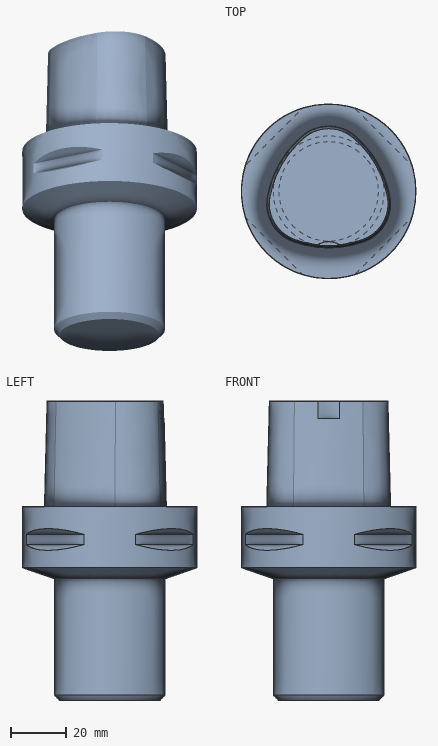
import cadquery as cq
import math

total_height = 108.0
flange_diameter = 63.0
flange_radius = flange_diameter / 2
shank_diameter = 40.0
shank_radius = shank_diameter / 2
shank_chamfer = 2.0
shank_height = 44.0
flange_bottom = 48.0
taper_height = 38.0
flange_top = total_height - taper_height

lobe_reach = 23.5
flat_reach = 20.4
lobe_radius = 14.6
taper_ratio = 1 / 40

keyway_half_width = 3.9
keyway_back_y = -18.1
keyway_edge_y = -19.2
keyway_height = 6.4

slot_count = 4
slot_first_angle = 45.0
slot_floor_distance = 27.9
slot_floor_height = 3.7
slot_center_z = 58.1
slot_flank_angle = 30.0
slot_overshoot = 1.1


def polar(radius, angle):
    """Point at a radius and an angle in degrees."""
    radians = math.radians(angle)
    return (radius * math.cos(radians), radius * math.sin(radians))


def make_body():
    """Shank with end chamfer, cone and flange as one turned profile."""
    return (
        cq.Workplane("XZ")
        .moveTo(0, 0)
        .lineTo(shank_radius - shank_chamfer, 0)
        .lineTo(shank_radius, shank_chamfer)
        .lineTo(shank_radius, shank_height)
        .lineTo(flange_radius, flange_bottom)
        .lineTo(flange_radius, flange_top)
        .lineTo(0, flange_top)
        .close()
        .revolve(360, (0, 0, 0), (0, 1, 0))
    )


def make_polygon_taper():
    """Rounded triangle of six tangent arcs, narrowing upward."""
    lobe_offset = lobe_reach - lobe_radius
    gap = flat_reach - lobe_radius - lobe_offset / 2
    lobe_half_pitch = lobe_offset * math.sin(math.radians(60))
    center_distance = (lobe_half_pitch**2 + gap**2) / (2 * gap)
    turn = math.degrees(math.asin(lobe_half_pitch / center_distance))

    tangent = polar(lobe_radius, 60 - turn)
    joint_x = lobe_offset + tangent[0]
    joint_radius = math.hypot(joint_x, tangent[1])
    joint_angle = math.degrees(math.atan2(tangent[1], joint_x))

    outline = cq.Workplane("XY", origin=(0, 0, flange_top))
    outline = outline.moveTo(*polar(joint_radius, 90 - joint_angle))
    for lobe_angle in (90, 210, 330):
        lobe_end = polar(joint_radius, lobe_angle + joint_angle)
        side_end = polar(joint_radius, lobe_angle + 120 - joint_angle)
        outline = outline.threePointArc(polar(lobe_reach, lobe_angle), lobe_end)
        outline = outline.threePointArc(polar(flat_reach, lobe_angle + 60), side_end)
    taper_angle = math.degrees(math.atan(taper_ratio))
    return outline.close().extrude(taper_height, taper=taper_angle)


def make_keyway():
    """Straight-sided cutter with an arched back wall, open at the top and outward."""
    return (
        cq.Workplane("XY", origin=(0, 0, total_height - keyway_height))
        .moveTo(-keyway_half_width, -flange_radius)
        .lineTo(-keyway_half_width, keyway_edge_y)
        .threePointArc((0, keyway_back_y), (keyway_half_width, keyway_edge_y))
        .lineTo(keyway_half_width, -flange_radius)
        .close()
        .extrude(keyway_height)
    )


def make_slot(angle):
    """Flat-floored slot with flaring flanks, facing outward at an angle."""
    outer = flange_radius + slot_overshoot
    floor_half = slot_floor_height / 2
    flare = (outer - slot_floor_distance) * math.tan(math.radians(slot_flank_angle))
    outer_half = floor_half + flare
    return (
        cq.Workplane("XZ")
        .polyline([
            (slot_floor_distance, slot_center_z - floor_half),
            (outer, slot_center_z - outer_half),
            (outer, slot_center_z + outer_half),
            (slot_floor_distance, slot_center_z + floor_half),
        ])
        .close()
        .extrude(flange_radius, both=True)
        .rotate((0, 0, 0), (0, 0, 1), angle)
    )


result = make_body().union(make_polygon_taper()).cut(make_keyway())
for index in range(slot_count):
    result = result.cut(make_slot(slot_first_angle + index * 360 / slot_count))